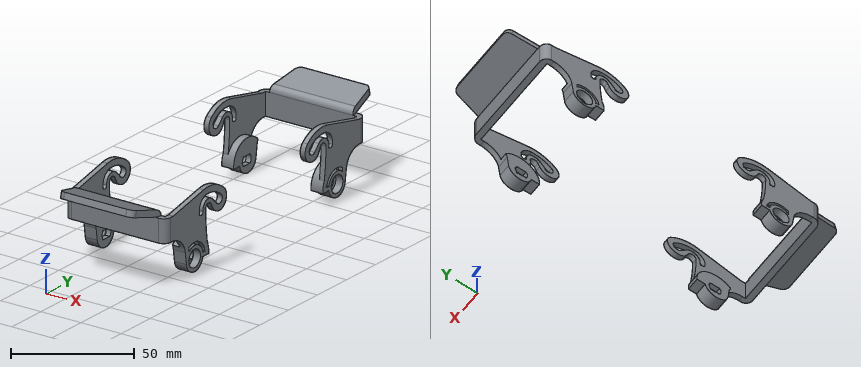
import cadquery as cq
import math

overall_width = 50.5
overall_length = 166.0
overall_height = 35.89

arm_thickness = 2.5
wall_thickness = 3.0
half_width = overall_width / 2
flap_tip_y = overall_length / 2

lug_radius = 5.75
pivot = (49.0, 0.0)
boss_radius = 9.75
boss_depth = 3.5
bore_radius = 4.0
bore_depth = 3.5
groove_outer_radius = 7.1
groove_depth = 2.0
groove_end_y = pivot[0] + 3.75
groove_end_z = 0.9
key_hole_radius = 3.0
key_hole_flat = 4.0
key_hole_offset = -0.7
foot_top_z = 4.3
foot_bottom_z = -1.05

wall_outer_y = 69.0
wall_bottom_z = 12.45
wall_top_z = 23.35
corner_radius = 3.5
lower_blend_radius = 9.1
lower_blend_center = (64.45, wall_bottom_z - lower_blend_radius)

hook_back_center = (39.33, 12.29)
hook_back_radius = 16.0
hook_back_slope = math.radians(12.3)
hook_tip_radius = 5.1
hook_tip_y = 27.0
hook_strip = 3.0
notch_center = (39.35, 19.1)
notch_radius = 2.0
notch_strip = 2.0
slot_heel_radius = 5.75
slot_heel_y = 40.1
slot_end_outer_angle = math.radians(-10)
slot_end_inner_angle = math.radians(-7)
slot_end_depth = 1.25

flap_slope = math.radians(15)
flap_thickness = 3.0
flap_root_half_width = 20.75
flap_tip_half_width = 18.1
flap_corner_radius = 3.0


def polar(center, radius, angle):
    """Point on a circle, as (Y, Z)."""
    return (center[0] + radius * math.cos(angle), center[1] + radius * math.sin(angle))


def cross_tangent(center_a, radius_a, center_b, radius_b, turn):
    """Touch points of the line that passes between two circles; turn (+1 or -1) picks which line."""
    dy = center_b[0] - center_a[0]
    dz = center_b[1] - center_a[1]
    spread = math.acos((radius_a + radius_b) / math.hypot(dy, dz))
    angle = math.atan2(dz, dy) + turn * spread
    return polar(center_a, radius_a, angle), polar(center_b, radius_b, angle + math.pi)


def nested_center(y, radius):
    """Centre at the given Y of a circle touching the inside of the hook back, whose radius is larger."""
    gap = hook_back_radius - radius
    return (y, hook_back_center[1] + math.sqrt(gap ** 2 - (y - hook_back_center[0]) ** 2))


def circle_y(center, radius, z):
    """Y of the low-Y half of a circle at the given height."""
    return center[0] - math.sqrt(radius ** 2 - (z - center[1]) ** 2)


def angle_from(center, point):
    return math.atan2(point[1] - center[1], point[0] - center[0])


def cylinder(center, radius, x_start, depth):
    return cq.Workplane("YZ", origin=(x_start, 0, 0)).center(*center).circle(radius).extrude(depth)


hook_tip_center = nested_center(hook_tip_y + hook_tip_radius, hook_tip_radius)
inner_x = half_width - arm_thickness
boss_x = inner_x - boss_depth


def arm_profile(depth, x_start):
    """Side outline of one arm, from the cross wall to the hook and the pivot lug."""
    back_start = polar(hook_back_center, hook_back_radius, math.pi / 2 - hook_back_slope)
    slope_foot_y = back_start[0] + (back_start[1] - wall_top_z) / math.tan(hook_back_slope)
    tip_angle = angle_from(hook_back_center, hook_tip_center)
    back_end = polar(hook_back_center, hook_back_radius, tip_angle)
    back_middle = polar(hook_back_center, hook_back_radius, (math.pi / 2 - hook_back_slope + tip_angle) / 2)
    under_tip, under_notch = cross_tangent(hook_tip_center, hook_tip_radius, notch_center, notch_radius, -1)
    blend_low, lug_high = cross_tangent(lower_blend_center, lower_blend_radius, pivot, lug_radius, -1)
    blend_middle_angle = (math.pi / 2 + angle_from(lower_blend_center, blend_low)) / 2
    foot_top = (circle_y(pivot, boss_radius, foot_top_z), foot_top_z)
    foot_bottom = (circle_y(pivot, boss_radius, foot_bottom_z), foot_bottom_z)
    lug_low = (circle_y(pivot, lug_radius, foot_bottom_z), foot_bottom_z)
    return (
        cq.Workplane("YZ", origin=(x_start, 0, 0))
        .moveTo(wall_outer_y, wall_bottom_z)
        .lineTo(wall_outer_y, wall_top_z)
        .lineTo(slope_foot_y, wall_top_z)
        .lineTo(*back_start)
        .threePointArc(back_middle, back_end)
        .threePointArc((hook_tip_y, hook_tip_center[1]), under_tip)
        .lineTo(*under_notch)
        .threePointArc(
            (notch_center[0], notch_center[1] + notch_radius),
            (notch_center[0] + notch_radius, notch_center[1]),
        )
        .tangentArcPoint(foot_top, relative=False)
        .threePointArc((pivot[0] - boss_radius, pivot[1]), foot_bottom)
        .lineTo(*lug_low)
        .threePointArc((pivot[0], pivot[1] - lug_radius), lug_high)
        .lineTo(*blend_low)
        .threePointArc(
            polar(lower_blend_center, lower_blend_radius, blend_middle_angle),
            (lower_blend_center[0], wall_bottom_z),
        )
        .close()
        .extrude(depth)
    )


def hook_slot():
    """Curved slot that follows the hook and runs round its notch."""
    back_radius = hook_back_radius - hook_strip
    tip_radius = hook_tip_radius - hook_strip
    inner_radius = notch_radius + notch_strip
    heel_center = nested_center(slot_heel_y, slot_heel_radius + hook_strip)
    tip_angle = angle_from(hook_back_center, hook_tip_center)
    heel_angle = angle_from(hook_back_center, heel_center)
    back_end = polar(hook_back_center, back_radius, tip_angle)
    back_start = polar(hook_back_center, back_radius, heel_angle)
    back_middle = polar(hook_back_center, back_radius, (tip_angle + heel_angle) / 2)
    under_tip, under_notch = cross_tangent(hook_tip_center, tip_radius, notch_center, inner_radius, -1)
    heel_middle_angle = (slot_end_outer_angle + heel_angle) / 2
    heel_end = polar(heel_center, slot_heel_radius, slot_end_outer_angle)
    inner_end = polar(notch_center, inner_radius, slot_end_inner_angle)
    slot_end = (
        (heel_end[0] + inner_end[0]) / 2,
        (heel_end[1] + inner_end[1]) / 2 - slot_end_depth,
    )
    tip_middle_angle = (tip_angle + angle_from(hook_tip_center, under_tip) + 2 * math.pi) / 2
    return (
        cq.Workplane("YZ", origin=(inner_x, 0, 0))
        .moveTo(*heel_end)
        .threePointArc(polar(heel_center, slot_heel_radius, heel_middle_angle), back_start)
        .threePointArc(back_middle, back_end)
        .threePointArc(polar(hook_tip_center, tip_radius, tip_middle_angle), under_tip)
        .lineTo(*under_notch)
        .threePointArc((notch_center[0], notch_center[1] + inner_radius), inner_end)
        .threePointArc(slot_end, heel_end)
        .close()
        .extrude(arm_thickness)
    )


def crescent_groove():
    """Arc-shaped groove in the outer face, above the pivot bore."""
    ring_x = half_width - groove_depth
    ring = cylinder(pivot, groove_outer_radius, ring_x, groove_depth)
    ring = ring.cut(cylinder(pivot, lug_radius, ring_x, groove_depth))
    start_y = pivot[0] - groove_outer_radius
    window = cq.Workplane("XY").box(
        groove_depth, groove_end_y - start_y, groove_outer_radius, centered=False
    ).translate((ring_x, start_y, groove_end_z))
    return ring.intersect(window)


def key_hole():
    """Round hole with a flat at the top and at the bottom."""
    center = (pivot[0] + key_hole_offset, pivot[1])
    depth = half_width - boss_x
    flats = cq.Workplane("YZ", origin=(boss_x, 0, 0)).center(*center)
    flats = flats.rect(2 * key_hole_radius, key_hole_flat).extrude(depth)
    return cylinder(center, key_hole_radius, boss_x, depth).intersect(flats)


def side_arm():
    """Arm on the +X side with its inner boss, hook slot, pivot bore and groove."""
    boss = arm_profile(boss_depth, boss_x).intersect(cylinder(pivot, boss_radius, boss_x, boss_depth))
    arm = arm_profile(arm_thickness, inner_x).union(boss)
    arm = arm.cut(hook_slot()).cut(crescent_groove())
    arm = arm.cut(cylinder(pivot, bore_radius, half_width - bore_depth, bore_depth))
    return arm.cut(key_hole())


def finger_flap():
    """Tilted flap that bends outward from the top of the cross wall."""
    wall_inner_y = wall_outer_y - wall_thickness
    run = (math.cos(flap_slope), math.sin(flap_slope))
    top_tip = (flap_tip_y - flap_thickness * run[1], overall_height - lug_radius)
    low_tip = (flap_tip_y, top_tip[1] - flap_thickness * run[0])
    low_root_z = low_tip[1] - (flap_tip_y - wall_outer_y) * math.tan(flap_slope)
    knee_z = top_tip[1] - (top_tip[0] - wall_inner_y) * math.tan(flap_slope)
    knee_reach = knee_z - wall_top_z
    bend_top = (wall_inner_y + knee_reach * run[0], knee_z + knee_reach * run[1])
    flap = (
        cq.Workplane("YZ", origin=(-half_width, 0, 0))
        .moveTo(wall_outer_y, wall_bottom_z)
        .lineTo(wall_outer_y, low_root_z)
        .lineTo(*low_tip)
        .lineTo(*top_tip)
        .lineTo(*bend_top)
        .tangentArcPoint((wall_inner_y, wall_top_z), relative=False)
        .lineTo(wall_inner_y, wall_bottom_z)
        .close()
        .extrude(overall_width)
    )
    taper_length = (top_tip[0] - wall_inner_y) / run[0]
    lower_half_width = 2 * flap_root_half_width - flap_tip_half_width
    flap_plane = cq.Plane(origin=(0, *top_tip), xDir=(1, 0, 0), normal=(0, -run[1], run[0]))
    plan = (
        cq.Workplane(flap_plane)
        .polyline([
            (-flap_tip_half_width, 0),
            (flap_tip_half_width, 0),
            (lower_half_width, -2 * taper_length),
            (-lower_half_width, -2 * taper_length),
        ])
        .close()
        .extrude(overall_height, both=True)
    )
    tip_corners = cq.selectors.BoxSelector(
        (-half_width, top_tip[0] - flap_thickness, top_tip[1] - flap_thickness),
        (half_width, top_tip[0] + flap_thickness, top_tip[1] + flap_thickness),
    )
    plan = plan.edges(cq.selectors.ParallelDirSelector(flap_plane.zDir)).edges(tip_corners)
    return flap.intersect(plan.fillet(flap_corner_radius))


def lever():
    """One complete lever, on the +Y side."""
    arm = side_arm()
    wall = cq.Workplane("XY").box(
        overall_width, wall_thickness, wall_top_z - wall_bottom_z, centered=(True, False, False)
    ).translate((0, wall_outer_y - wall_thickness, wall_bottom_z))
    bracket = wall.union(arm).union(arm.mirror("YZ"))
    bracket = bracket.edges("|Z and >Y").fillet(corner_radius)
    return bracket.union(finger_flap())


levers = [lever().rotate((0, 0, 0), (0, 0, 1), turn).val() for turn in (0, 180)]
result = cq.Compound.makeCompound(levers)